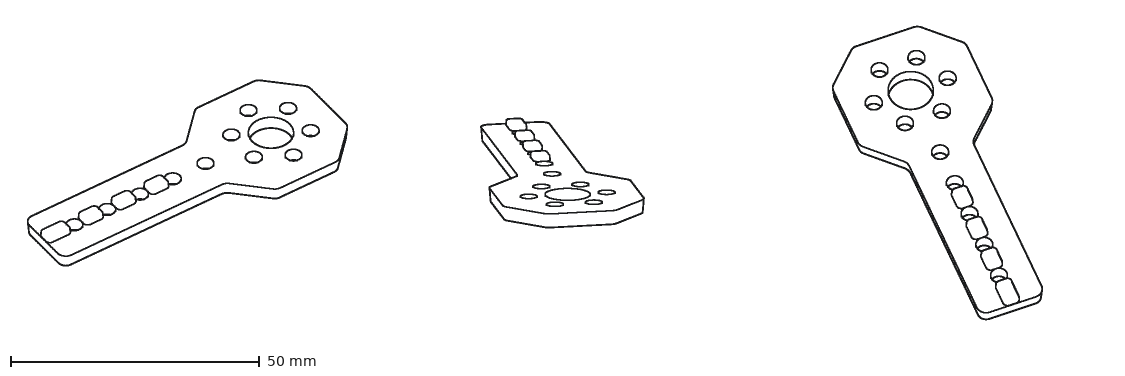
import cadquery as cq
import math


overall_length = 69.5
head_width = 29.0
head_top_y = 14.0
stem_width = 14.05
plate_thickness = 3.0
corner_radius = 2.0

wall_draft = 5.0
edge_fillet = 0.2

bore_diameter = 9.1
hole_diameter = 3.4
hole_pitch = 8.0
ring_hole_count = 6
stem_hole_count = 5

overall_height = 4.0
pad_width = 3.5
pad_corner_radius = 1.0
end_pad_inset = 0.1

head_half = head_width / 2
stem_half = stem_width / 2
stem_end_y = head_top_y - overall_length
pad_height = overall_height - plate_thickness

stem_hole_ys = [-(index + 2) * hole_pitch for index in range(stem_hole_count)]


def make_plate():
    """Octagonal head and straight stem, tapered down to a rounded underside edge."""
    slant = head_half - stem_half
    shoulder_y = stem_hole_ys[0]
    right_side = [
        (stem_half, head_top_y),
        (head_half, head_top_y - slant),
        (head_half, shoulder_y + slant),
        (stem_half, shoulder_y),
        (stem_half, stem_end_y),
    ]
    left_side = [(-x, y) for x, y in reversed(right_side)]
    outline = cq.Sketch().polygon(right_side + left_side + right_side[:1])
    outline = outline.vertices().fillet(corner_radius)
    plate = (
        cq.Workplane("XY", origin=(0, 0, plate_thickness))
        .placeSketch(outline)
        .extrude(-plate_thickness, taper=wall_draft)
    )
    return plate.faces("<Z").edges().fillet(edge_fillet)


def make_holes():
    """Bore, the ring of holes around it, and the row of holes down the stem."""
    ring_step = 2 * math.pi / ring_hole_count
    ring_points = [
        (hole_pitch * math.cos(index * ring_step), hole_pitch * math.sin(index * ring_step))
        for index in range(ring_hole_count)
    ]
    stem_points = [(0, y) for y in stem_hole_ys]
    bore = cq.Workplane("XY").circle(bore_diameter / 2).extrude(plate_thickness)
    small_holes = (
        cq.Workplane("XY")
        .pushPoints(ring_points + stem_points)
        .circle(hole_diameter / 2)
        .extrude(plate_thickness)
    )
    return bore.union(small_holes)


def make_pad(upper_y, lower_y):
    """Rounded rectangular pad that tapers upward to a rounded top edge."""
    outline = cq.Sketch().rect(pad_width, upper_y - lower_y).vertices().fillet(pad_corner_radius)
    pad = (
        cq.Workplane("XY", origin=(0, (upper_y + lower_y) / 2, plate_thickness))
        .placeSketch(outline)
        .extrude(pad_height, taper=wall_draft)
    )
    return pad.faces(">Z").edges().fillet(edge_fillet)


result = make_plate().cut(make_holes())

hole_radius = hole_diameter / 2
pad_upper_ys = [y - hole_radius for y in stem_hole_ys[1:]]
pad_lower_ys = [y + hole_radius for y in stem_hole_ys[2:]] + [stem_end_y + end_pad_inset]
for upper_y, lower_y in zip(pad_upper_ys, pad_lower_ys):
    result = result.union(make_pad(upper_y, lower_y))